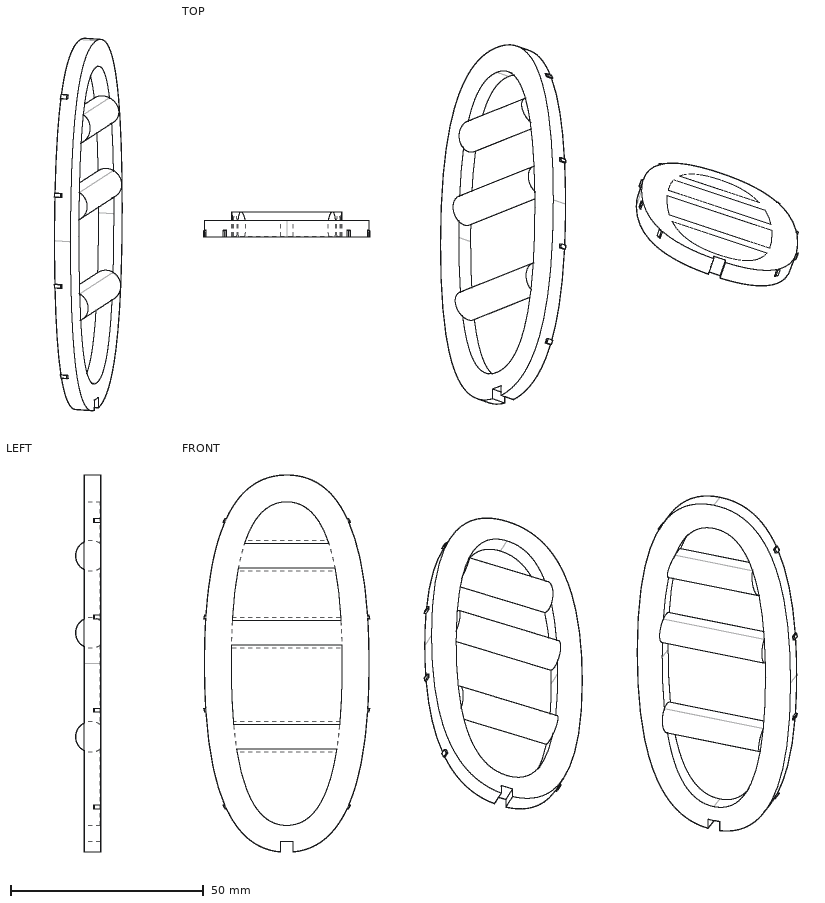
import cadquery as cq

plate_half_width = 21.4
plate_half_height = 49.0
plate_thickness = 4.4
corner_fullness = 0.67

rim_width = 7.0
skin_thickness = 0.2

overall_depth = 6.6
bar_radius = 4.0
bar_centres = (28.0, 8.0, -19.0)

notch_width = 3.2
notch_top = -46.2

nub_places = ((12.1, 21.565, 21.35), (37.2, 16.6, 16.0))
nub_width = 1.0
nub_length = 1.9
nub_chamfer = 0.25
nub_root = 1.5


def oval(half_width, half_height):
    """Closed outline of four quarter curves, square to the axes where they meet."""
    handle_x = half_width * corner_fullness
    handle_z = half_height * corner_fullness
    right = (half_width, 0)
    top = (0, half_height)
    left = (-half_width, 0)
    bottom = (0, -half_height)
    return (
        cq.Workplane("XZ")
        .bezier([right, (half_width, handle_z), (handle_x, half_height), top])
        .bezier([top, (-handle_x, half_height), (-half_width, handle_z), left])
        .bezier([left, (-half_width, -handle_z), (-handle_x, -half_height), bottom])
        .bezier([bottom, (handle_x, -half_height), (half_width, -handle_z), right])
        .close()
    )


def oval_prism(inset, y_from, y_to):
    """The plate's outline moved inward by the inset, filling Y from y_from to y_to."""
    outline = oval(plate_half_width - inset, plate_half_height - inset)
    return outline.extrude(y_from - y_to).translate((0, y_from, 0))


def bar(z_centre):
    """A full cylinder along X whose rearmost line lies at the overall depth."""
    axis_start = (-plate_half_width, overall_depth - bar_radius, z_centre)
    return cq.Workplane("YZ", origin=axis_start).circle(bar_radius).extrude(2 * plate_half_width)


def nub(z_centre, tip_x, far_x):
    """An upper right nub: its tip is on the lower flank, and its rear outer edge is chamfered."""
    z_low = z_centre - nub_width / 2
    z_high = z_centre + nub_width / 2
    root_x = far_x - nub_root
    return (
        cq.Workplane("XZ")
        .polyline([(root_x, z_low), (tip_x, z_low), (far_x, z_high), (root_x, z_high)])
        .close()
        .extrude(-nub_length)
        .faces(">Y")
        .edges(">X")
        .chamfer(nub_chamfer)
    )


def notch():
    depth = plate_half_height + notch_top
    block = cq.Workplane("XY").box(notch_width, plate_thickness, depth, centered=(True, False, False))
    return block.translate((0, 0, -plate_half_height))


bars = bar(bar_centres[0])
for z_centre in bar_centres[1:]:
    bars = bars.union(bar(z_centre))
pockets = oval_prism(rim_width, skin_thickness, plate_thickness).cut(bars)
crowns = oval_prism(rim_width, plate_thickness, overall_depth).intersect(bars)
result = oval_prism(0, 0, plate_thickness).cut(pockets).union(crowns)

for place in nub_places:
    upper_right = nub(*place)
    right_pair = upper_right.union(upper_right.mirror("XY"))
    result = result.union(right_pair).union(right_pair.mirror("YZ"))

result = result.cut(notch())